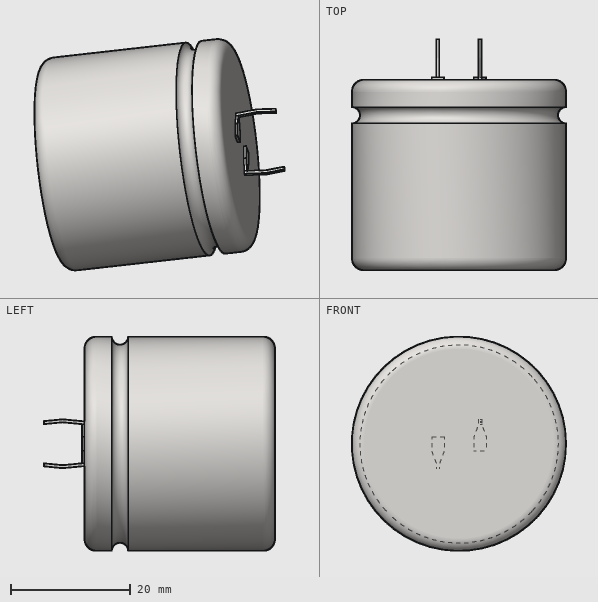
import cadquery as cq
import math

can_diameter = 36.0
can_length = 32.0
edge_radius = 2.05

groove_radius = 1.35
groove_setback = 5.97

total_length = 38.8
pin_spacing = 10.0
pin_offset = pin_spacing / 2 * math.sin(math.radians(45))
pin_width = 0.55
pin_thickness = 0.55
kink_rise = 0.3
kink_setback = 3.15

foot_height = 0.43
foot_width = 2.1
foot_half_length = 1.2

can_radius = can_diameter / 2


def make_can():
    can = cq.Workplane("XZ").circle(can_radius).extrude(-can_length)
    return can.edges("%CIRCLE").fillet(edge_radius)


def make_groove():
    """Ring swept round the Y axis, its circular section centred on the can wall."""
    section = cq.Workplane("XY").center(can_radius, can_length - groove_setback).circle(groove_radius)
    return section.revolve(360, (-can_radius, 0), (-can_radius, 1))


def make_foot():
    """Plate on the can end: a rectangle centred on Z = 0 that tapers to the inner face of the pin."""
    taper_end = pin_offset - pin_thickness / 2
    half_width = foot_width / 2
    return (
        cq.Workplane("XZ", origin=(pin_offset, can_length, 0))
        .moveTo(-half_width, -foot_half_length)
        .lineTo(half_width, -foot_half_length)
        .lineTo(half_width, foot_half_length)
        .lineTo(pin_width / 2, taper_end)
        .lineTo(-pin_width / 2, taper_end)
        .lineTo(-half_width, foot_half_length)
        .close()
        .extrude(-foot_height)
    )


def make_pin():
    """Flat pin, straight through the foot height and then kinked away from the can axis."""
    inner = pin_offset - pin_thickness / 2
    outer = pin_offset + pin_thickness / 2
    bend_start = can_length + foot_height
    kink = total_length - kink_setback
    return (
        cq.Workplane("YZ", origin=(pin_offset, 0, 0))
        .moveTo(can_length, inner)
        .lineTo(bend_start, inner)
        .lineTo(kink, inner + kink_rise)
        .lineTo(total_length, inner)
        .lineTo(total_length, outer)
        .lineTo(kink, outer + kink_rise)
        .lineTo(bend_start, outer)
        .lineTo(can_length, outer)
        .close()
        .extrude(pin_width / 2, both=True)
    )


terminal = make_foot().union(make_pin())
result = make_can().cut(make_groove())
for turn in (0, 180):
    result = result.union(terminal.rotate((0, 0, 0), (0, 1, 0), turn))